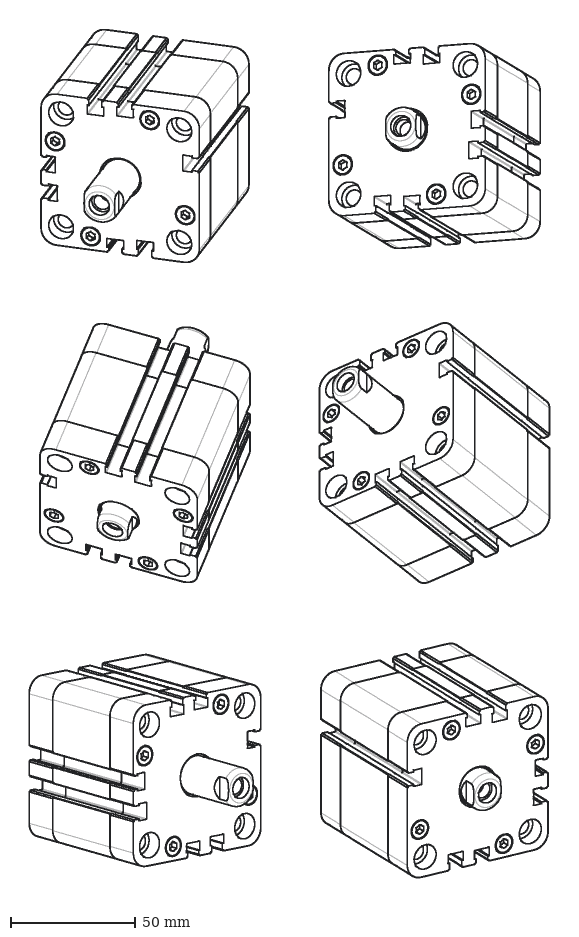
import cadquery as cq
import math


block_side = 67.0
block_length = 65.5
cap_length = 14.8
tube_inset = 0.1
tube_length = block_length - 2 * cap_length
cap_corner_radius = 6.6
tube_corner_radius = 6.2

slot_mouth_width = 5.6
slot_inner_width = 7.0
slot_inner_height = 3.8
slot_inner_radius = 0.3
deep_slot_depth = 6.9
shallow_slot_depth = 6.0
deep_slot_offset = -10.5
shallow_slot_offset = 2.06
cap_mouth_radius = 0.6
tube_mouth_radius = 0.2

mount_offset = 25.0
mount_diameter = 6.6
mount_counterbore_diameter = 10.5
mount_counterbore_depth = 6.5

screw_x = 12.51
screw_z = 27.5
screw_recess_diameter = 8.2
screw_head_diameter = 7.5
screw_head_height = 4.0
screw_hex_flats = 3.5
screw_hex_depth = 3.0

rod_diameter = 16.0
rod_front_length = 27.5
rod_total_length = 100.5
rod_end_radius = 1.9
rod_flats = 13.0
rod_flat_length = 5.6
rod_recess_diameter = 17.6
rod_recess_depth = 1.0

socket_diameter = 6.6
socket_mouth_diameter = 8.5
socket_mouth_depth = 3.5
socket_depth = 12.1
drill_point_angle = 118

half_side = block_side / 2
rod_radius = rod_diameter / 2
rod_front_y = -rod_front_length
rod_rear_y = rod_front_y + rod_total_length
mount_centers = [(x, z) for x in (-mount_offset, mount_offset) for z in (-mount_offset, mount_offset)]


def plane_at(y):
    """XZ sketch plane at position y whose extrusions run toward +Y (local y is -Z)."""
    return cq.Workplane(cq.Plane(origin=(0, y, 0), xDir=(1, 0, 0), normal=(0, 1, 0)))


def cylinder(diameter, y_start, length, x=0, z=0):
    return plane_at(y_start).center(x, -z).circle(diameter / 2).extrude(length)


def slot_cutter(offset, depth, inset, mouth_radius, y_start, length):
    """T slot opening in the top (+Z) side, with rounded lips where the mouth meets the side."""
    half_mouth = slot_mouth_width / 2
    outer = inset - half_side
    inner_middle = outer + depth - slot_inner_height / 2
    lip_cut = (
        plane_at(y_start)
        .moveTo(offset - half_mouth - mouth_radius, outer)
        .radiusArc((offset - half_mouth, outer + mouth_radius), mouth_radius)
        .lineTo(offset - half_mouth, inner_middle)
        .lineTo(offset + half_mouth, inner_middle)
        .lineTo(offset + half_mouth, outer + mouth_radius)
        .radiusArc((offset + half_mouth + mouth_radius, outer), mouth_radius)
        .close()
        .extrude(length)
    )
    inner_cut = (
        plane_at(y_start)
        .center(offset, inner_middle)
        .rect(slot_inner_width, slot_inner_height)
        .extrude(length)
        .edges("|Y and <Z")
        .fillet(slot_inner_radius)
    )
    return lip_cut.union(inner_cut)


def quarter_turned(body, quarter):
    return body.rotate((0, 0, 0), (0, 1, 0), -90 * quarter)


def block_section(y_start, length, inset, corner_radius, mouth_radius):
    """Rounded square length of the block with deep slots on all sides and shallow ones on three."""
    side = block_side - 2 * inset
    section = (
        plane_at(y_start)
        .rect(side, side)
        .extrude(length)
        .edges("|Y")
        .fillet(corner_radius)
    )
    deep_slot = slot_cutter(deep_slot_offset, deep_slot_depth, inset, mouth_radius, y_start, length)
    shallow_slot = slot_cutter(shallow_slot_offset, shallow_slot_depth, inset, mouth_radius, y_start, length)
    for quarter in range(4):
        section = section.cut(quarter_turned(deep_slot, quarter))
    for quarter in range(3):
        section = section.cut(quarter_turned(shallow_slot, quarter))
    return section


def mirrored_to_rear(body):
    return body.mirror("XZ", (0, block_length / 2, 0))


def front_face_cutter():
    """Everything sunk into the front cap: counterbores, screw recesses and the rod recess."""
    cutter = cylinder(rod_recess_diameter, 0, rod_recess_depth)
    for x, z in mount_centers:
        cutter = cutter.union(cylinder(mount_counterbore_diameter, 0, mount_counterbore_depth, x, z))
    ring = cylinder(screw_recess_diameter, 0, screw_head_height).cut(
        cylinder(screw_head_diameter, 0, screw_head_height)
    )
    hex_socket = (
        plane_at(0)
        .polygon(6, screw_hex_flats, circumscribed=True)
        .extrude(screw_hex_depth)
    )
    screw_recess = ring.union(hex_socket)
    x, z = screw_x, screw_z
    for _ in range(4):
        cutter = cutter.union(screw_recess.translate((x, 0, z)))
        x, z = -z, x
    return cutter


def rod_end_cutter():
    """Wrench flats and threaded socket for the front rod end."""
    half_flats = rod_flats / 2
    flat_depth = rod_radius - half_flats
    flat = (
        cq.Workplane("XY")
        .workplane(offset=-rod_radius)
        .moveTo(half_flats, rod_front_y)
        .lineTo(half_flats, rod_front_y + rod_flat_length)
        .lineTo(rod_radius, rod_front_y + rod_flat_length + flat_depth)
        .lineTo(rod_radius, rod_front_y)
        .close()
        .extrude(rod_diameter)
    )
    socket_radius = socket_diameter / 2
    mouth_radius = socket_mouth_diameter / 2
    point_length = socket_radius / math.tan(math.radians(drill_point_angle / 2))
    socket = (
        cq.Workplane("XY")
        .moveTo(0, rod_front_y)
        .lineTo(mouth_radius, rod_front_y)
        .lineTo(mouth_radius, rod_front_y + socket_mouth_depth)
        .lineTo(socket_radius, rod_front_y + socket_mouth_depth)
        .lineTo(socket_radius, rod_front_y + socket_depth)
        .lineTo(0, rod_front_y + socket_depth + point_length)
        .close()
        .revolve(360, (0, 0, 0), (0, 1, 0))
    )
    return socket.union(flat).union(flat.mirror("YZ"))


def piston_rod():
    rod = cylinder(rod_diameter, rod_front_y, rod_total_length)
    rod = rod.faces("<Y or >Y").edges().fillet(rod_end_radius)
    front_cutter = rod_end_cutter()
    rear_cutter = front_cutter.mirror("XZ", (0, (rod_front_y + rod_rear_y) / 2, 0))
    return rod.cut(front_cutter).cut(rear_cutter)


def block():
    front_cap = block_section(0, cap_length, 0, cap_corner_radius, cap_mouth_radius)
    tube = block_section(cap_length, tube_length, tube_inset, tube_corner_radius, tube_mouth_radius)
    front_cap = front_cap.cut(front_face_cutter())
    body = front_cap.union(tube).union(mirrored_to_rear(front_cap))
    for x, z in mount_centers:
        body = body.cut(cylinder(mount_diameter, 0, block_length, x, z))
    return body


result = block().union(piston_rod())